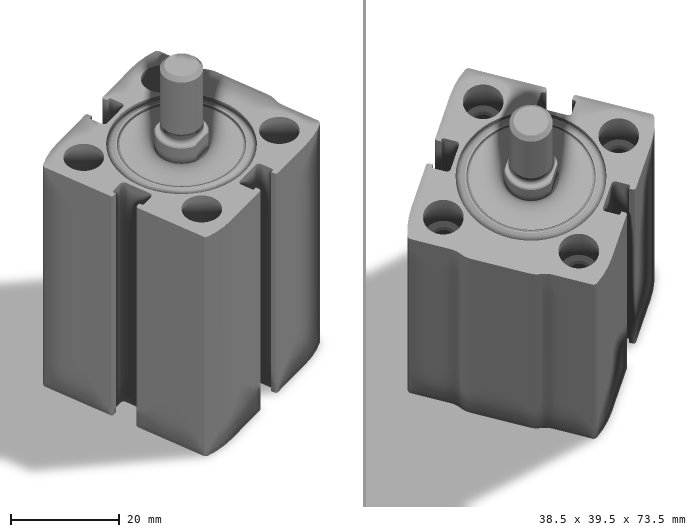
import cadquery as cq
import math

total_height = 73.5
body_height = 54.0
body_width = 38.5
half_width = body_width / 2

relief_start = 12.65
relief_end = 18.8
relief_inset = 1.1
corner_chamfer = 0.45

back_rise = 0.95
crest_half_width = 5.65
ramp_length = 4.1

slot_mouth = 5.15
slot_mouth_radius = 0.45
slot_width = 6.75
slot_depth = 4.6
slot_lip = 1.2
slot_floor_fillet = 0.7
slot_lip_fillet = 0.4

hole_offset = 13.0
hole_diameter = 4.1
countersink_diameter = 4.9
counterbore_diameter = 7.5
counterbore_depth = 7.35

cover_recess = 0.3
cover_level = body_height - cover_recess
groove_outer_diameter = 27.8
groove_inner_diameter = 24.4
groove_depth = 1.0
land_recess = 0.1
seam_outer_diameter = 23.8
seam_inner_diameter = 23.2
seam_depth = 0.65
disc_diameter = 22.8
disc_step = 0.15

collar_diameter = 10.0
collar_top = 57.55
collar_chamfer = 0.2
flat_width = 9.0
rod_bottom = 44.1
bore_chamfer = 0.185
flat_bottom = cover_level - bore_chamfer
neck_diameter = 6.4
neck_fillet = 0.45
thread_diameter = 8.0
thread_bottom = 59.8
thread_chamfer = (thread_diameter - neck_diameter) / 2


def body_outline():
    """Rectangle with bowed corner reliefs and a raised middle on the +Y side."""
    chord_x = half_width - relief_inset
    rise = relief_end - relief_start
    radius = (rise**2 + relief_inset**2) / (2 * relief_inset)
    half_turn = math.asin(rise / radius) / 2
    mid_x = half_width - radius * (1 - math.cos(half_turn))
    mid_y = relief_start + radius * math.sin(half_turn)
    flat_x = chord_x - corner_chamfer

    foot_x = crest_half_width + ramp_length
    middle_x = crest_half_width + ramp_length / 2
    crest_y = half_width + back_rise
    middle_y = half_width + back_rise / 2
    ramp_radius = (ramp_length**2 + back_rise**2) / (4 * back_rise)

    return (
        cq.Workplane("XY")
        .moveTo(-flat_x, -half_width)
        .lineTo(flat_x, -half_width)
        .lineTo(chord_x, -relief_end)
        .threePointArc((mid_x, -mid_y), (half_width, -relief_start))
        .lineTo(half_width, relief_start)
        .threePointArc((mid_x, mid_y), (chord_x, relief_end))
        .lineTo(flat_x, half_width)
        .lineTo(foot_x, half_width)
        .radiusArc((middle_x, middle_y), ramp_radius)
        .radiusArc((crest_half_width, crest_y), -ramp_radius)
        .lineTo(-crest_half_width, crest_y)
        .radiusArc((-middle_x, middle_y), -ramp_radius)
        .radiusArc((-foot_x, half_width), ramp_radius)
        .lineTo(-flat_x, half_width)
        .lineTo(-chord_x, relief_end)
        .threePointArc((-mid_x, mid_y), (-half_width, relief_start))
        .lineTo(-half_width, -relief_start)
        .threePointArc((-mid_x, -mid_y), (-chord_x, -relief_end))
        .close()
    )


def slot_cutter():
    """T-shaped slot with a rounded mouth opening to -Y, running the full height."""
    half_mouth = slot_mouth / 2
    flared = half_mouth + slot_mouth_radius
    mouth = (
        cq.Workplane("XY")
        .moveTo(-flared, 0)
        .lineTo(flared, 0)
        .radiusArc((half_mouth, slot_mouth_radius), slot_mouth_radius)
        .lineTo(half_mouth, slot_depth)
        .lineTo(-half_mouth, slot_depth)
        .lineTo(-half_mouth, slot_mouth_radius)
        .radiusArc((-flared, 0), slot_mouth_radius)
        .close()
        .extrude(body_height)
    )
    channel = (
        cq.Workplane("XY")
        .box(slot_width, slot_depth - slot_lip, body_height, centered=(True, False, False))
        .translate((0, slot_lip, 0))
        .edges("|Z and >Y")
        .fillet(slot_floor_fillet)
        .edges("|Z and <Y")
        .fillet(slot_lip_fillet)
    )
    return mouth.union(channel).translate((0, -half_width, 0))


def mounting_hole_cutter():
    """Counterbored through hole with a chamfered mouth below the counterbore."""
    seat = body_height - counterbore_depth
    radius = hole_diameter / 2
    countersink_radius = countersink_diameter / 2
    return (
        cq.Workplane("XZ")
        .polyline(
            [
                (0, 0),
                (radius, 0),
                (radius, seat - (countersink_radius - radius)),
                (countersink_radius, seat),
                (counterbore_diameter / 2, seat),
                (counterbore_diameter / 2, body_height),
                (0, body_height),
            ]
        )
        .close()
        .revolve(360, (0, 0), (0, 1))
    )


def cover_recess_cutter():
    """Shallow round recess around a stepped disc, with two ring grooves whose floors fall outwards."""
    disc = disc_diameter / 2
    step_level = cover_level - disc_step
    land_level = body_height - land_recess
    groove_outer = groove_outer_diameter / 2
    groove_inner = groove_inner_diameter / 2
    seam_outer = seam_outer_diameter / 2
    seam_inner = seam_inner_diameter / 2
    return (
        cq.Workplane("XZ")
        .polyline(
            [
                (0, cover_level),
                (disc, cover_level),
                (disc, step_level),
                (seam_inner, step_level),
                (seam_outer, body_height - seam_depth),
                (seam_outer, land_level),
                (groove_inner, land_level),
                (groove_outer, body_height - groove_depth),
                (groove_outer, body_height),
                (0, body_height),
            ]
        )
        .close()
        .revolve(360, (0, 0), (0, 1))
    )


def rod_bore_cutter():
    """Blind bore for the rod collar with a chamfered rim."""
    radius = collar_diameter / 2
    return (
        cq.Workplane("XZ")
        .polyline(
            [
                (0, rod_bottom),
                (radius, rod_bottom),
                (radius, cover_level - bore_chamfer),
                (radius + bore_chamfer, cover_level),
                (0, cover_level),
            ]
        )
        .close()
        .revolve(360, (0, 0), (0, 1))
    )


def make_housing():
    """Cylinder body with three sensor slots, four mounting holes and the front cover."""
    housing = body_outline().extrude(body_height)
    for angle in (-90, 0, 90):
        housing = housing.cut(slot_cutter().rotate((0, 0, 0), (0, 0, 1), angle))
    for x in (-hole_offset, hole_offset):
        for y in (-hole_offset, hole_offset):
            housing = housing.cut(mounting_hole_cutter().translate((x, y, 0)))
    return housing.cut(cover_recess_cutter()).cut(rod_bore_cutter())


def make_rod():
    """Piston rod with a collar with two wrench flats, a filleted neck and a chamfered end."""
    collar = collar_diameter / 2
    neck = neck_diameter / 2
    thread = thread_diameter / 2
    neck_top = thread_bottom - thread_chamfer
    fillet_tangent = neck_fillet * math.tan(math.radians(45) / 2)
    fillet_run = fillet_tangent * math.sqrt(0.5)
    rod = (
        cq.Workplane("XZ")
        .moveTo(0, rod_bottom)
        .lineTo(collar, rod_bottom)
        .lineTo(collar, collar_top - collar_chamfer)
        .lineTo(collar - collar_chamfer, collar_top)
        .lineTo(neck + neck_fillet, collar_top)
        .radiusArc((neck, collar_top + neck_fillet), neck_fillet)
        .lineTo(neck, neck_top - fillet_tangent)
        .tangentArcPoint((neck + fillet_run, neck_top + fillet_run), relative=False)
        .lineTo(thread, thread_bottom)
        .lineTo(thread, total_height - thread_chamfer)
        .lineTo(thread - thread_chamfer, total_height)
        .lineTo(0, total_height)
        .close()
        .revolve(360, (0, 0), (0, 1))
    )
    flat_height = collar_top - flat_bottom
    outside_flats = (
        cq.Workplane("XY", origin=(0, 0, flat_bottom))
        .rect(2 * collar_diameter, collar_diameter)
        .rect(flat_width, collar_diameter)
        .extrude(flat_height)
    )
    return rod.cut(outside_flats)


housing = make_housing()
rod = make_rod()
result = cq.Compound.makeCompound([housing.val(), rod.val()])